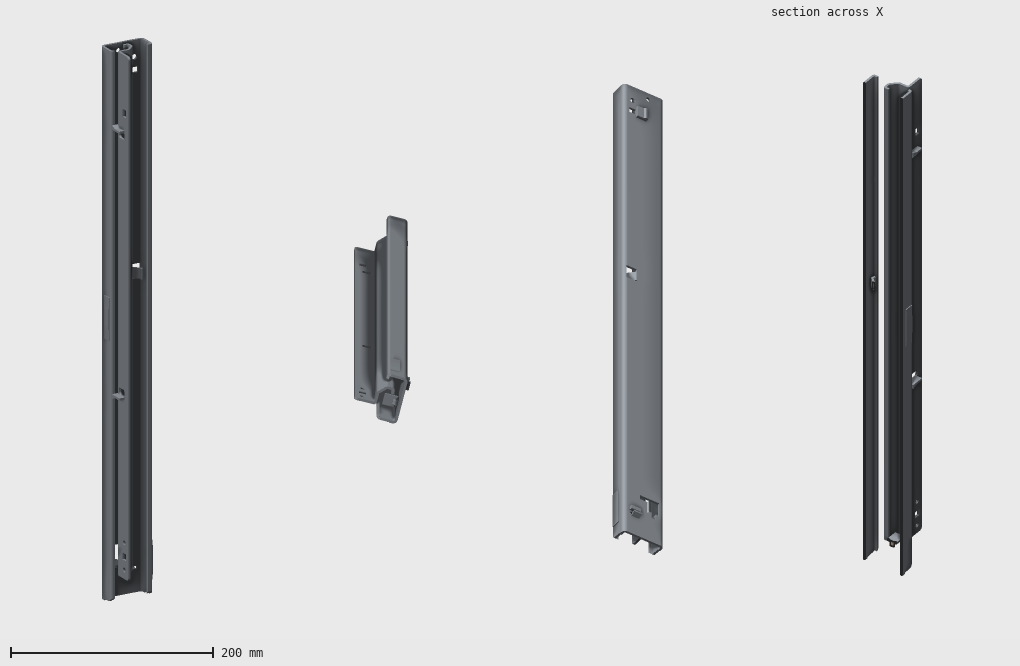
import cadquery as cq
import math


overall_width = 49.43
overall_depth = 50.2
length = 580.0
top_z = length / 2
bottom_z = -length / 2
sheet = 2.55
bend = 2.0
tight_bend = 0.3
overcut = 1.0

reach = 4.7
rail_width = 21.0
half_height = 24.0
upper_lip_depth = 6.0
lower_lip_depth = 4.5
flange_setback = 2.2
foot_width = 7.5
flange_slope = 1.0
flange_corner = 3.5

pad_crest = overall_depth / 2
pad_shoulder_drop = 0.3
pad_shoulder = pad_crest - pad_shoulder_drop
pad_left = 8.7
pad_right = rail_width - sheet
pad_ramp = 14.0
front_pad_z = (-14.5, 31.0)
back_pad_z = (-273.5, -232.0)

web_holes = [(-5.0, 282.0, 5.0), (13.2, 272.0, 6.0)]

catch_z = (252.0, 265.0)
catch_top_y = 9.5
catch_foot_y = -3.4
catch_body = 3.2
catch_corner = 2.0
catch_tip_y = (-0.8, 0.8)
catch_tip_slope = 1.6
catch_window_y = (catch_top_y, 17.3)
catch_window_z = (255.5, 261.5)

tab_window_y = (8.5, 20.5)
tab_window_z = (39.5, 55.0)
tab_z = (41.0, 52.0)
tab_outline = [
    (0, 8.0),
    (2.0, 8.0),
    (9.5, 15.8),
    (12.2, 14.8),
    (13.0, 16.6),
    (9.5, 18.5),
    (0, 9.0),
]

shelf_top = -252.2
shelf_bottom = shelf_top - sheet
shelf_window_y = (-18.0, -4.0)
shelf_window_z = (shelf_bottom, -236.0)
side_slot_y = (-5.0, 5.0)
side_slot_z = (-241.0, -236.0)
shelf_y = (-17.0, -5.7)
shelf_depth = 16.5
gusset_y = (-13.8, -8.8)
gusset_run = 4.5
gusset_drop = 7.0

fin_y = (5.8, 17.0)
fin_z = (-260.8, -256.5)
fin_height = 3.5
lip_y = (5.8, 14.8)
lip_root_z = (-268.0, -265.5)
lip_tip_z = (-264.5, -262.8)
lip_window_y = (5.8, 16.2)
lip_window_z = (-265.5, -262.5)

bracket_edge = overall_width - reach
bracket_bottom = -259.6
leg_face = 24.9
plate_front = -17.8
plate_back = plate_front + sheet
leg_top = -4.8
hook_top = 3.3
hook_bend = leg_face - (hook_top - leg_top)
hook_left = 8.3
hook_tip = -3.0
plate_corner = 3.5
hole_x = 36.7
upper_hole = (6.5, 8.0)
upper_hole_z = 229.0
lower_hole = (7.0, 7.0)
lower_hole_z = -236.3
round_hole = 5.0
round_holes_z = (-221.5, -250.0)

opening_x = (26.0, 37.0)
opening_height = 7.5
opening_corner = 2.5
openings = [(204.8, 1), (-65.2, -1)]
stop_front = -23.6
stop_thickness = 2.4
stop_heel = 2.2
stop_heel_length = 6.0


def block(x_range, y_range, z_range):
    """Box between two values on each axis."""
    sizes = [high - low for low, high in (x_range, y_range, z_range)]
    corner = (x_range[0], y_range[0], z_range[0])
    return cq.Workplane("XY").box(*sizes, centered=False).translate(corner)


def xz_prism(points, y_range):
    """Polygon in XZ, extruded over a range of Y."""
    profile = cq.Workplane("XZ", origin=(0, y_range[1], 0)).polyline(points).close()
    return profile.extrude(y_range[1] - y_range[0])


def xy_prism(points, z_range):
    """Polygon in XY, extruded over a range of Z."""
    profile = cq.Workplane("XY", origin=(0, 0, z_range[0])).polyline(points).close()
    return profile.extrude(z_range[1] - z_range[0])


def unit(start, end):
    """Unit vector from one 2D point to the next."""
    span = math.dist(start, end)
    return ((end[0] - start[0]) / span, (end[1] - start[1]) / span)


def folded_sheet(path, bends, z_range):
    """Sheet with one face along the XY path, thickened to its left, with one inner radius per bend."""
    directions = [unit(a, b) for a, b in zip(path, path[1:])]
    inner = []
    for (x, y), before, after in zip(path, directions[:1] + directions, directions + directions[-1:]):
        miter = sheet / (1 + before[0] * after[0] + before[1] * after[1])
        inner.append((x - miter * (before[1] + after[1]), y + miter * (before[0] + after[0])))
    body = xy_prism(path + inner[::-1], z_range)

    middle = sum(z_range) / 2
    corners = zip(path[1:-1], inner[1:-1], directions, directions[1:], bends)
    for path_corner, inner_corner, before, after, radius in corners:
        turns_left = before[0] * after[1] > before[1] * after[0]
        path_radius = radius + sheet if turns_left else radius
        inner_radius = radius if turns_left else radius + sheet
        for corner, corner_radius in ((path_corner, path_radius), (inner_corner, inner_radius)):
            edge = cq.selectors.NearestToPointSelector((*corner, middle))
            body = body.edges(edge).fillet(corner_radius)
    return body




def flange_pad(side, z_range):
    """Long low pad, ramped at both ends, on the flange at +Y (side 1) or -Y (side -1)."""
    low, high = z_range
    root = side * (half_height - sheet / 2)
    shoulder = side * pad_shoulder
    crest = side * pad_crest
    profile = cq.Workplane("YZ", origin=(pad_left, 0, 0)).polyline([
        (root, low),
        (shoulder, low),
        (crest, low + pad_ramp),
        (crest, high - pad_ramp),
        (shoulder, high),
        (root, high),
    ])
    return profile.close().extrude(pad_right - pad_left)


def web_window(y_range, z_range):
    return block((-overcut, sheet + overcut), y_range, z_range)


def web_hole(y, z, diameter):
    plane = cq.Workplane("YZ", origin=(-overcut, y, z))
    return plane.circle(diameter / 2).extrude(sheet + 2 * overcut)


def foot_trim():
    """Cutter that sets the flange ends back from the foot of the web and clips their corners."""
    clear_x = rail_width + overcut
    clear_z = bottom_z - overcut
    flange_end = bottom_z + flange_setback
    return xz_prism(
        [
            (foot_width, clear_z),
            (foot_width, flange_end - flange_slope),
            (rail_width - flange_corner, flange_end),
            (clear_x, flange_end + flange_corner + overcut),
            (clear_x, clear_z),
        ],
        (-half_height - overcut, half_height + overcut),
    )


def catch():
    """Solid catch on the web with a raised tip along its lower side."""
    profile = [
        (sheet / 2, catch_top_y),
        (-catch_body, catch_top_y),
        (-catch_body, catch_tip_y[1] + catch_tip_slope),
        (-reach, catch_tip_y[1]),
        (-reach, catch_tip_y[0]),
        (-catch_body, catch_tip_y[0] - catch_tip_slope),
        (0, catch_foot_y),
        (sheet / 2, catch_foot_y),
    ]
    envelope = block((-reach, sheet / 2), (catch_foot_y, catch_top_y), catch_z)
    return xy_prism(profile, catch_z).intersect(envelope.edges("|X and <Y").fillet(catch_corner))


def corner_triangle(corner_x, corner_z):
    """Triangular prism under a fold, running inward along X and down along Z."""
    return xz_prism(
        [(corner_x, corner_z), (corner_x + gusset_run, corner_z), (corner_x, corner_z - gusset_drop)],
        gusset_y,
    )


def sloped_lip():
    return xz_prism(
        [
            (sheet / 2, lip_root_z[0]),
            (-reach, lip_tip_z[0]),
            (-reach, lip_tip_z[1]),
            (sheet / 2, lip_root_z[1]),
        ],
        lip_y,
    )


rail = folded_sheet(
    [
        (rail_width, half_height - upper_lip_depth),
        (rail_width, half_height),
        (0, half_height),
        (0, -half_height),
        (rail_width, -half_height),
        (rail_width, -half_height + lower_lip_depth),
    ],
    [tight_bend, bend, bend, tight_bend],
    (bottom_z, top_z),
)
rail = rail.cut(foot_trim())
rail = rail.union(flange_pad(-1, front_pad_z))
rail = rail.union(flange_pad(1, back_pad_z))
for hole_y, hole_z, hole_diameter in web_holes:
    rail = rail.cut(web_hole(hole_y, hole_z, hole_diameter))

rail = rail.cut(web_window(catch_window_y, catch_window_z)).union(catch())
rail = rail.cut(web_window(tab_window_y, tab_window_z)).union(xy_prism(tab_outline, tab_z))

rail = rail.cut(web_window(shelf_window_y, shelf_window_z))
rail = rail.cut(web_window(side_slot_y, side_slot_z))
rail = rail.union(block((0, shelf_depth), shelf_y, (shelf_bottom, shelf_top)))
rail = rail.union(corner_triangle(sheet, shelf_bottom))
rail = rail.cut(corner_triangle(0, shelf_top))

rail = rail.cut(web_window(lip_window_y, lip_window_z)).union(sloped_lip())
rail = rail.union(block((-fin_height, sheet / 2), fin_y, fin_z))



def plate_cutter(x, z):
    """Workplane behind the plate; cutters run from it through the plate toward -Y."""
    return cq.Workplane("XZ", origin=(x, plate_back + overcut, z))


def opening(middle_z):
    plane = plate_cutter(sum(opening_x) / 2, middle_z)
    cutter = plane.rect(opening_x[1] - opening_x[0], opening_height).extrude(cut_depth)
    return cutter.edges("|Y").fillet(opening_corner)


def stop_tab(middle_z, side):
    """Tab standing out from the plate at one end of an opening, thicker at the leg."""
    near = middle_z + side * opening_height / 2
    far = near + side * stop_thickness
    heel_x = leg_face - sheet
    return xz_prism(
        [
            (heel_x, near),
            (opening_x[1], near),
            (opening_x[1], far),
            (heel_x + stop_heel_length, far),
            (heel_x, far + side * stop_heel),
        ],
        (stop_front, plate_front + sheet / 2),
    )


cut_depth = sheet + 2 * overcut
bracket = folded_sheet(
    [
        (bracket_edge, plate_back),
        (leg_face, plate_back),
        (leg_face, leg_top),
        (hook_bend, hook_top),
        (hook_left, hook_top),
        (hook_left, hook_tip),
    ],
    [tight_bend, bend, bend, tight_bend],
    (bracket_bottom, top_z),
)
bracket = bracket.faces(">X").edges("|Y").fillet(plate_corner)
bracket = bracket.cut(plate_cutter(hole_x, upper_hole_z).rect(*upper_hole).extrude(cut_depth))
bracket = bracket.cut(plate_cutter(hole_x, lower_hole_z).rect(*lower_hole).extrude(cut_depth))
for hole_z in round_holes_z:
    bracket = bracket.cut(plate_cutter(hole_x, hole_z).circle(round_hole / 2).extrude(cut_depth))
for opening_z, tab_side in openings:
    bracket = bracket.cut(opening(opening_z)).union(stop_tab(opening_z, tab_side))

result = cq.Compound.makeCompound([rail.val(), bracket.val()])